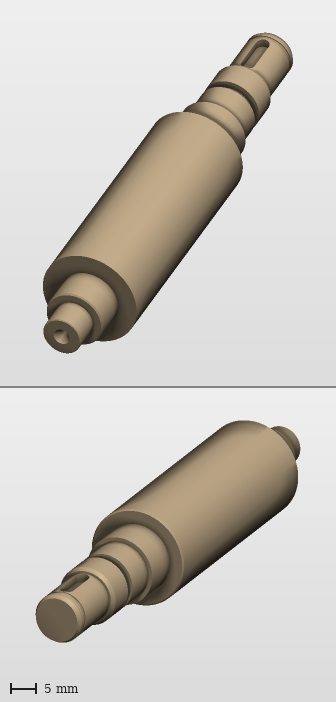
import cadquery as cq
import math

length = 100.2
drive_radius = 5.0
bearing_radius = 6.0
shoulder_radius = 7.0
body_radius = 10.0
journal_radius = 4.0

bearing_start = 12.9
shoulder_start = 28.1
body_start = 35.8
body_end = 86.8
journal_start = 94.2

lead_in_length = 0.9
lead_in_depth = 0.5
edge_chamfer = 0.3
journal_chamfer = 0.2

ring_groove = (1.8, 0.9, 4.8)
relief_groove = (19.3, 2.0, 4.5)

key_width = 2.8
key_start = 2.9
key_end = 12.7
key_depth = 1.8

centre_radius = 1.7
centre_half_angle = 30.0


def section(start, end, radius, lead=(0, 0), tail=0):
    """Cylinder between two stations; lead is the start chamfer (length, depth), tail the end chamfer."""
    lead_length, lead_depth = lead
    outline = cq.Workplane("XY").moveTo(0, length / 2 - start).lineTo(radius - lead_depth, length / 2 - start)
    if lead_length:
        outline = outline.lineTo(radius, length / 2 - start - lead_length)
    outline = outline.lineTo(radius, length / 2 - end + tail)
    if tail:
        outline = outline.lineTo(radius - tail, length / 2 - end)
    outline = outline.lineTo(0, length / 2 - end).close()
    return outline.revolve(360, (0, 0, 0), (0, 1, 0))


def groove(start, width, floor_radius):
    """Ring that cuts a square groove down to the floor radius."""
    end = start + width
    return section(start, end, body_radius).cut(section(start, end, floor_radius))


def keyway():
    """Round-ended slot cut from the top of the drive end."""
    middle = length / 2 - (key_start + key_end) / 2
    return (
        cq.Workplane("XY", origin=(0, middle, drive_radius - key_depth))
        .slot2D(key_end - key_start, key_width, 90)
        .extrude(drive_radius)
    )


def centre_cone():
    """Conical centre recess with its mouth on the journal end face."""
    depth = centre_radius / math.tan(math.radians(centre_half_angle))
    mouth = -length / 2
    outline = cq.Workplane("XY").polyline([(0, mouth), (centre_radius, mouth), (0, mouth + depth)]).close()
    return outline.revolve(360, (0, 0, 0), (0, 1, 0))


lead_in = (lead_in_length, lead_in_depth)
body_lead = (edge_chamfer, edge_chamfer)

shaft = section(0, bearing_start, drive_radius, lead_in)
shaft = shaft.union(section(bearing_start, shoulder_start, bearing_radius, lead_in))
shaft = shaft.union(section(shoulder_start, body_start, shoulder_radius))
shaft = shaft.union(section(body_start, body_end, body_radius, body_lead))
shaft = shaft.union(section(body_end, journal_start, bearing_radius, tail=edge_chamfer))
shaft = shaft.union(section(journal_start, length, journal_radius, tail=journal_chamfer))

for groove_size in (ring_groove, relief_groove):
    shaft = shaft.cut(groove(*groove_size))

result = shaft.cut(keyway()).cut(centre_cone())